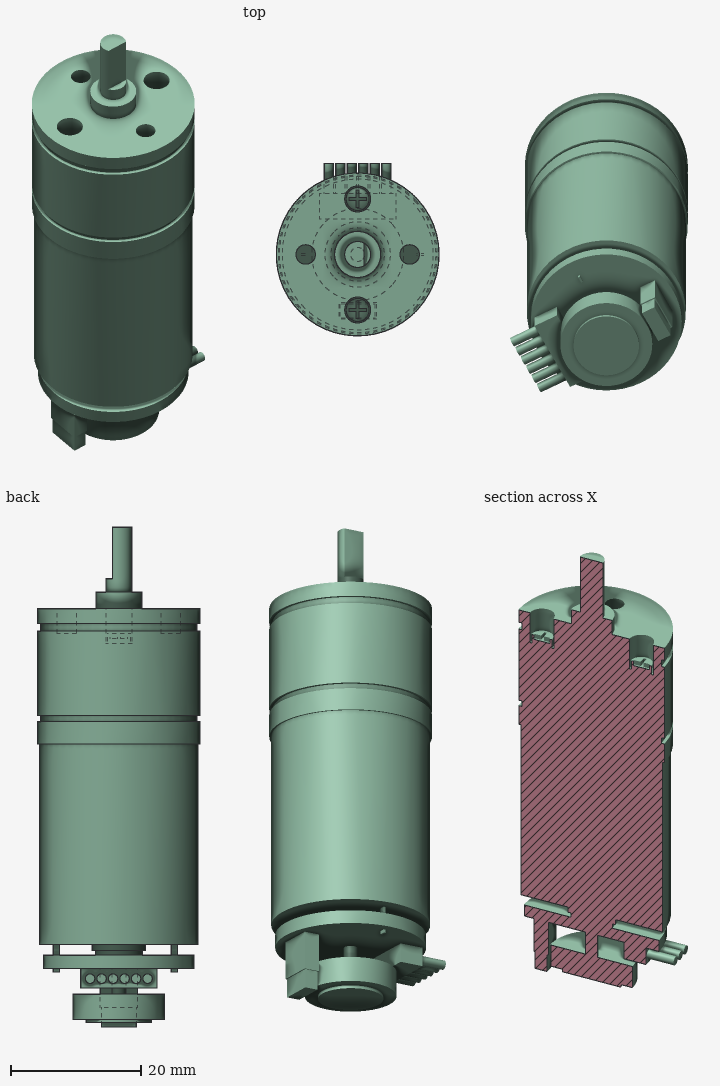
import cadquery as cq


shaft_diameter = 4.0
shaft_length = 10.0
flat_length = 7.9
flat_offset = 1.0
shoulder_diameter = 7.1
shoulder_height = 2.5

gearbox_diameter = 25.0
groove_diameter = 24.0
motor_diameter = 24.4
face_plate_thickness = 2.3
upper_groove_width = 1.15
gear_case_length = 13.0
lower_groove_width = 0.9
rear_ring_length = 3.45
motor_length = 30.8

mount_hole_diameter = 3.0
mount_hole_spacing = 16.0
mount_hole_depth = 3.85
screw_hole_diameter = 4.0
screw_hole_spacing = 17.05
screw_hole_depth = 5.4
screw_head_diameter = 3.5
screw_head_height = 1.5
cross_length = 2.7
cross_width = 0.45
cross_depth = 0.8

boss_diameter = 8.2
boss_height = 0.9
boss_step_diameter = 7.2
boss_step_height = 0.7
board_diameter = 23.2
board_thickness = 2.1

terminal_spacing = 18.1
terminal_shift = 0.5
terminal_width = 1.0
terminal_thickness = 0.3
terminal_overhang = 0.5

rear_shaft_diameter = 2.15
magnet_gap = 3.9
magnet_diameter = 14.1
magnet_height = 3.9
hub_diameter = 10.05
hub_height = 0.45

sensor_y = -8.7
sensor_width = 5.75
sensor_thickness = 2.5
sensor_height = 6.0
sensor_tip_width = 5.4
sensor_tip_thickness = 2.15
sensor_tip_height = 3.0

connector_width = 11.75
connector_depth = 3.9
connector_height = 3.0
connector_back_y = 9.4
wire_count = 6
wire_diameter = 1.45
wire_pitch = 1.8
wire_drop = 1.5
wire_end_y = 14.0

case_top = -face_plate_thickness - upper_groove_width
case_bottom = case_top - gear_case_length
ring_top = case_bottom - lower_groove_width
ring_bottom = ring_top - rear_ring_length
motor_bottom = ring_bottom - motor_length
board_top = motor_bottom - boss_height - boss_step_height
board_bottom = board_top - board_thickness
magnet_top = board_bottom - magnet_gap


def disc(diameter, top, height, x=0, y=0):
    """Vertical cylinder hanging down from its top level."""
    return cq.Workplane("XY", origin=(x, y, top - height)).circle(diameter / 2).extrude(height)


def block(size_x, size_y, top, height, x=0, y=0):
    """Upright box, centred on (x, y), hanging down from its top level."""
    return cq.Workplane("XY", origin=(x, y, top - height)).rect(size_x, size_y).extrude(height)


def output_shaft():
    shaft_top = shoulder_height + shaft_length
    shaft = disc(shaft_diameter, shaft_top, shaft_length)
    flat_center = flat_offset + shaft_diameter / 2
    shaft = shaft.cut(block(shaft_diameter, 2 * shaft_diameter, shaft_top, flat_length, x=flat_center))
    return shaft.union(disc(shoulder_diameter, shoulder_height, shoulder_height))


def screw_head(y):
    floor = -screw_hole_depth
    head_top = floor + screw_head_height
    head = disc(screw_head_diameter, head_top, screw_head_height, y=y)
    head = head.cut(block(cross_length, cross_width, head_top, cross_depth, y=y))
    return head.cut(block(cross_width, cross_length, head_top, cross_depth, y=y))


def gearmotor():
    body = disc(gearbox_diameter, 0, face_plate_thickness)
    body = body.union(disc(groove_diameter, -face_plate_thickness, upper_groove_width))
    body = body.union(disc(gearbox_diameter, case_top, gear_case_length))
    body = body.union(disc(groove_diameter, case_bottom, lower_groove_width))
    body = body.union(disc(gearbox_diameter, ring_top, rear_ring_length))
    body = body.union(disc(motor_diameter, ring_bottom, motor_length))
    for side in (-1, 1):
        body = body.cut(disc(mount_hole_diameter, 0, mount_hole_depth, x=side * mount_hole_spacing / 2))
        screw_y = side * screw_hole_spacing / 2
        body = body.cut(disc(screw_hole_diameter, 0, screw_hole_depth, y=screw_y))
        body = body.union(screw_head(screw_y))
    return body


def board():
    plate = disc(boss_diameter, motor_bottom, boss_height)
    plate = plate.union(disc(boss_step_diameter, motor_bottom - boss_height, boss_step_height))
    plate = plate.union(disc(board_diameter, board_top, board_thickness))
    terminal_height = motor_bottom - board_bottom + terminal_overhang
    for side in (-1, 1):
        terminal_x = terminal_shift + side * terminal_spacing / 2
        plate = plate.union(
            block(terminal_width, terminal_thickness, motor_bottom, terminal_height, x=terminal_x)
        )
    return plate


def encoder_magnet():
    magnet = disc(rear_shaft_diameter, board_bottom, magnet_gap)
    magnet = magnet.union(disc(magnet_diameter, magnet_top, magnet_height))
    return magnet.union(disc(hub_diameter, magnet_top - magnet_height, hub_height))


def hall_sensor():
    sensor = block(sensor_width, sensor_thickness, board_bottom, sensor_height, y=sensor_y)
    tip_top = board_bottom - sensor_height
    return sensor.union(
        block(sensor_tip_width, sensor_tip_thickness, tip_top, sensor_tip_height, y=sensor_y)
    )


def connector():
    center_y = connector_back_y - connector_depth / 2
    housing = block(connector_width, connector_depth, board_bottom, connector_height, y=center_y)
    wires = (
        cq.Workplane("XZ", origin=(0, wire_end_y, board_bottom - wire_drop))
        .rarray(wire_pitch, 0.8, wire_count, 1)
        .circle(wire_diameter / 2)
        .extrude(wire_end_y - center_y)
    )
    return housing.union(wires)


result = output_shaft()
for section in (gearmotor(), board(), encoder_magnet(), hall_sensor(), connector()):
    result = result.union(section)